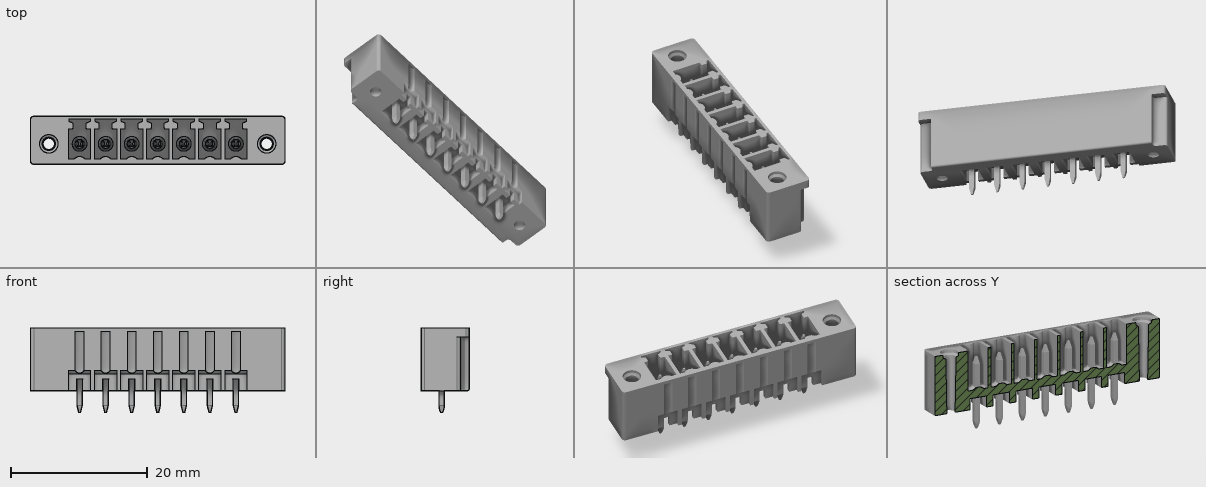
import cadquery as cq
import math


pole_count = 7
pitch = 3.81
pole_positions = [((i - (pole_count - 1) / 2) * pitch, 0) for i in range(pole_count)]

housing_length = 37.26
housing_width = 7.05
housing_height = 9.2
pin_to_front = 3.0
front_y = -pin_to_front
back_y = front_y + housing_width
corner_radius = 0.5
back_bottom_radius = 0.3

flange_thickness = 1.35
notch_length = 2.0
notch_depth = 1.3
notch_radius = 0.5

cavity_width = 3.25
cavity_floor_z = 3.0
cavity_front_y = -2.25
cavity_back_y = 2.15
neck_width = 1.9
neck_radius = 0.2
neck_end_y = 3.0
slot_width = 3.15
slot_flare_y = 3.32
slot_back_y = 3.6

groove_width = 1.3
groove_depth = 0.4
groove_top_z = 8.64
bulge_width = 1.65
bulge_height = 0.4

recess_width = cavity_width
recess_depth = 0.55
recess_front_z = 2.95
recess_back_z = 2.45

pocket_width = 2.6
pocket_front_y = -1.8
pocket_height = 1.7
pin_slot_width = 0.9

boss_base_radius = 1.08
boss_shoulder_radius = 0.85
boss_top_radius = 0.66
boss_shoulder_height = 0.15
boss_height = 0.35

screw_spacing = 31.86
screw_bore_top_radius = 0.97
screw_bore_bottom_radius = 0.83
screw_head_radius = 1.35
screw_head_depth = 0.45
screw_cone_depth = 0.25

pin_size = 0.8
pin_tip_size = 0.27
pin_taper_length = 1.07
pin_bottom_z = -3.2
pin_top_z = 7.9


def box(x_size, y_min, y_max, z_min, z_max):
    """Box centred on X = 0."""
    blank = cq.Workplane("XY").box(x_size, y_max - y_min, z_max - z_min, centered=(True, False, False))
    return blank.translate((0, y_min, z_min))


def at_poles(tool):
    """One copy of the tool at every pole, as a single Workplane."""
    return cq.Workplane("XY").newObject([tool.val().translate(cq.Vector(x, y, 0)) for x, y in pole_positions])


def make_block():
    """Outer block: a full-length flange on a foot whose back corners are notched with rounded steps."""
    flange_bottom_z = housing_height - flange_thickness
    notch_y = back_y - notch_depth

    flange = box(housing_length, front_y, back_y, flange_bottom_z, housing_height)
    flange = flange.edges("|Z").fillet(corner_radius)

    foot = box(housing_length, front_y, notch_y, 0, flange_bottom_z)
    foot = foot.edges("|Z").edges("<Y").fillet(corner_radius)
    foot = foot.union(box(housing_length - 2 * notch_length, front_y, back_y, 0, flange_bottom_z))
    notch_corners = foot.edges("|Z").edges(cq.selectors.BoxSelector(
        (-housing_length, notch_y - notch_radius, 0),
        (housing_length, notch_y + notch_radius, flange_bottom_z),
    ))
    foot = notch_corners.fillet(notch_radius)

    return foot.union(flange).faces("<Z").edges(">Y").fillet(back_bottom_radius)


def make_cavity():
    half_bulge = bulge_width / 2
    profile = (
        cq.Workplane("XY")
        .workplane(offset=cavity_floor_z)
        .moveTo(-cavity_width / 2, cavity_front_y)
        .lineTo(-half_bulge, cavity_front_y)
        .threePointArc((0, cavity_front_y + bulge_height), (half_bulge, cavity_front_y))
        .lineTo(cavity_width / 2, cavity_front_y)
        .lineTo(cavity_width / 2, cavity_back_y)
        .lineTo(neck_width / 2 + neck_radius, cavity_back_y)
        .radiusArc((neck_width / 2, cavity_back_y + neck_radius), neck_radius)
        .lineTo(neck_width / 2, neck_end_y)
        .lineTo(slot_width / 2, slot_flare_y)
        .lineTo(slot_width / 2, slot_back_y)
        .lineTo(-slot_width / 2, slot_back_y)
        .lineTo(-slot_width / 2, slot_flare_y)
        .lineTo(-neck_width / 2, neck_end_y)
        .lineTo(-neck_width / 2, cavity_back_y + neck_radius)
        .radiusArc((-neck_width / 2 - neck_radius, cavity_back_y), neck_radius)
        .lineTo(-cavity_width / 2, cavity_back_y)
        .close()
    )
    return profile.extrude(housing_height - cavity_floor_z)


def make_groove():
    return (
        cq.Workplane("XY")
        .moveTo(-groove_width / 2, front_y)
        .threePointArc((0, front_y + groove_depth), (groove_width / 2, front_y))
        .close()
        .extrude(groove_top_z)
    )


def make_recess():
    recess_back_y = front_y + recess_depth
    return (
        cq.Workplane("YZ")
        .polyline([(front_y, 0), (recess_back_y, 0), (recess_back_y, recess_back_z), (front_y, recess_front_z)])
        .close()
        .extrude(recess_width / 2, both=True)
    )


def make_underside_pocket():
    pocket = box(pocket_width, pocket_front_y, -pocket_front_y, 0, pocket_height)
    return pocket.union(box(pin_slot_width, front_y, pocket_front_y, 0, pocket_height))


def make_boss():
    return (
        cq.Workplane("XZ")
        .polyline([
            (0, 0),
            (boss_base_radius, 0),
            (boss_shoulder_radius, boss_shoulder_height),
            (boss_top_radius, boss_height),
            (0, boss_height),
        ])
        .close()
        .revolve(360, (0, 0, 0), (0, 1, 0))
        .translate((0, 0, cavity_floor_z))
    )


def make_screw_hole():
    head_z = housing_height - screw_head_depth
    return (
        cq.Workplane("XZ")
        .polyline([
            (0, 0),
            (screw_bore_bottom_radius, 0),
            (screw_bore_top_radius, head_z - screw_cone_depth),
            (screw_head_radius, head_z),
            (screw_head_radius, housing_height),
            (0, housing_height),
        ])
        .close()
        .revolve(360, (0, 0, 0), (0, 1, 0))
    )


def nose_middle():
    """Middle (Y, Z) of the nose arc, which leaves the straight side of the pin tangentially."""
    inset = (pin_size - pin_tip_size) / 2
    nose_radius = (pin_taper_length ** 2 + inset ** 2) / (2 * inset)
    half_angle = math.asin(pin_taper_length / nose_radius) / 2
    y = pin_size / 2 - nose_radius * (1 - math.cos(half_angle))
    z = pin_bottom_z + pin_taper_length - nose_radius * math.sin(half_angle)
    return y, z


def make_pin():
    bottom_shoulder_z = pin_bottom_z + pin_taper_length
    top_shoulder_z = pin_top_z - pin_taper_length
    half = pin_size / 2
    half_tip = pin_tip_size / 2
    nose_y, nose_z = nose_middle()

    pin = (
        cq.Workplane("XZ")
        .polyline([
            (-half_tip, pin_bottom_z),
            (half_tip, pin_bottom_z),
            (half, bottom_shoulder_z),
            (half, top_shoulder_z),
            (half_tip, pin_top_z),
            (-half_tip, pin_top_z),
            (-half, top_shoulder_z),
            (-half, bottom_shoulder_z),
        ])
        .close()
        .extrude(half, both=True)
    )

    side_profile = (
        cq.Workplane("YZ")
        .moveTo(half, bottom_shoulder_z)
        .lineTo(half, top_shoulder_z)
        .lineTo(half_tip, pin_top_z)
        .lineTo(-half_tip, pin_top_z)
        .lineTo(-half, top_shoulder_z)
        .lineTo(-half, bottom_shoulder_z)
        .threePointArc((-nose_y, nose_z), (-half_tip, pin_bottom_z))
        .lineTo(half_tip, pin_bottom_z)
        .threePointArc((nose_y, nose_z), (half, bottom_shoulder_z))
        .close()
        .extrude(half, both=True)
    )
    return pin.intersect(side_profile)


pins = at_poles(make_pin())

housing = make_block()
for pole_cut in (make_cavity(), make_groove(), make_recess(), make_underside_pocket()):
    for cutter in at_poles(pole_cut).vals():
        housing = housing.cut(cq.Workplane(cutter))
for boss in at_poles(make_boss()).vals():
    housing = housing.union(cq.Workplane(boss))
for side in (-1, 1):
    housing = housing.cut(make_screw_hole().translate((side * screw_spacing / 2, 0, 0)))
for pin in pins.vals():
    housing = housing.cut(cq.Workplane(pin))

result = cq.Compound.makeCompound([housing.val(), *pins.vals()])